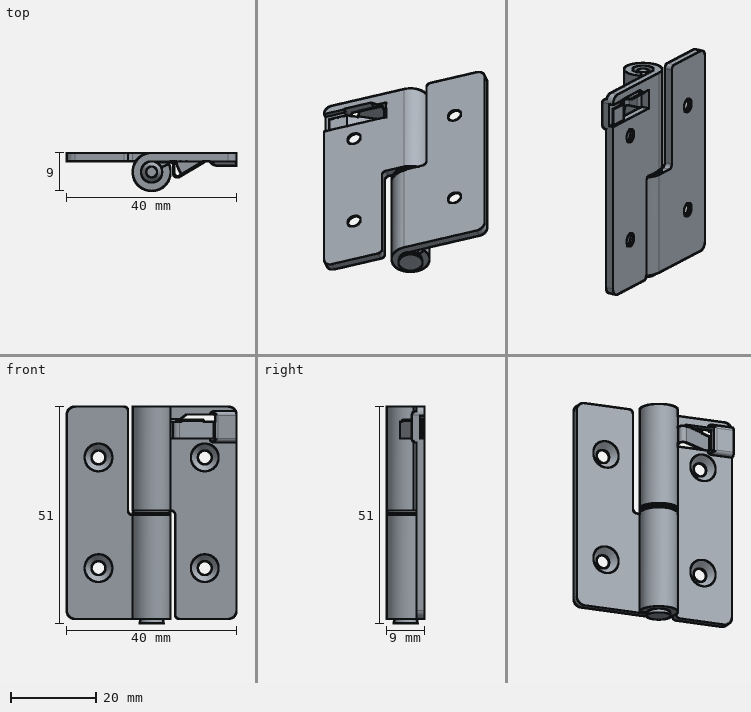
import cadquery as cq
import math


half_width = 20.0
leaf_height = 50.0
sheet = 2.0
bore_radius = 2.5
knuckle_radius = bore_radius + sheet
knuckle_height = 24.5
knuckle_gap_angle = 25.0
leaf_front = bore_radius
leaf_back = knuckle_radius
edge_clearance = 1.0
outer_corner = 2.0
inner_corner = 1.0

hole_x = 12.5
hole_heights = (12.0, 38.0)
hole_diameter = 3.2
countersink_diameter = 6.55
countersink_angle = 90.0

pin_top_radius = 1.3
pin_top_z = 49.65
pin_cone_height = 2.15
pin_neck_radius = 2.65
pin_foot_radius = 2.85
pin_foot_height = 1.0
collar_bottom = knuckle_height
collar_top = leaf_height - knuckle_height
collar_bevel = 0.25

window_left = knuckle_radius
window_right = 14.95
window_bottom = 42.45
window_step = 47.0
window_top = 48.1
window_slope = (6.8, 8.2)
window_corner = 0.3
pad_height = 1.05
pad_left = 13.6
pad_flat_left = 15.6
pad_bottom = 41.45
pad_top = 48.9
pad_edge_radius = 1.0
pad_corner = 1.2
pad_front = leaf_front - pad_height

strip = 0.3
spring_bottom = window_bottom
spring_top = 46.4
spring_start_x = 1.55
spring_drop_x = 5.05
shoulder_radius = 0.45
hook_radius = 1.0
ramp_angle = 31.0
ramp_radians = math.radians(ramp_angle)
ramp_rise = strip / math.cos(ramp_radians)
ramp_exit_x = 12.7
tail_start_x = 14.6
tail_end_x = 18.85
flange_top = 46.85
flange_left = 5.7
flange_foot_x = 7.0
flange_bulge = (6.15, 1.0)
flange_right = 12.3
flange_back = 4.0


def at_angle(radius, degrees):
    angle = math.radians(degrees)
    return (radius * math.cos(angle), radius * math.sin(angle))


def prism(outline, bottom, top):
    """Extrude an XY outline between two heights."""
    return outline.extrude(top - bottom).translate((0, 0, bottom))


def block(x_range, y_range, z_range):
    lows, highs = zip(x_range, y_range, z_range)
    sizes = [high - low for low, high in zip(lows, highs)]
    return cq.Workplane("XY").box(*sizes, centered=False).translate(lows)


def through_sheet(outline, front, back):
    """Extrude an outline drawn in X and Z between two depths."""
    return outline.extrude(back - front).translate((0, back, 0))


def plate():
    """Flat part of a leaf, with its knuckle at the lower end."""
    notch_edge = -knuckle_radius - edge_clearance
    outline = cq.Workplane("XZ").polyline([
        (-half_width, 0),
        (0, 0),
        (0, knuckle_height),
        (notch_edge, knuckle_height),
        (notch_edge, leaf_height),
        (-half_width, leaf_height),
    ]).close()
    flat = through_sheet(outline, leaf_front, leaf_back)
    flat = flat.edges("|Y and <X").fillet(outer_corner)
    middle_y = (leaf_front + leaf_back) / 2
    for z in (knuckle_height, leaf_height):
        corner = cq.selectors.NearestToPointSelector((notch_edge, middle_y, z))
        flat = flat.edges("|Y").edges(corner).fillet(inner_corner)
    return flat


def knuckle():
    """Rolled end of a leaf, an open C around the pin."""
    start = 90.0
    end = -180.0 - knuckle_gap_angle
    middle = (start + end) / 2
    outline = (
        cq.Workplane("XY")
        .moveTo(*at_angle(knuckle_radius, start))
        .threePointArc(at_angle(knuckle_radius, middle), at_angle(knuckle_radius, end))
        .lineTo(*at_angle(bore_radius, end))
        .threePointArc(at_angle(bore_radius, middle), at_angle(bore_radius, start))
        .close()
    )
    return prism(outline, 0, knuckle_height)


def leaf():
    """Left leaf with its countersunk holes."""
    body = plate().union(knuckle())
    hole_plane = cq.Workplane("XZ", origin=(0, leaf_front, 0))
    return (
        body.copyWorkplane(hole_plane)
        .pushPoints([(-hole_x, z) for z in hole_heights])
        .cskHole(hole_diameter, countersink_diameter, countersink_angle)
    )


def window():
    slope_start, slope_end = window_slope
    outline = cq.Workplane("XZ").polyline([
        (window_left, window_bottom),
        (window_right, window_bottom),
        (window_right, window_top),
        (slope_end, window_top),
        (slope_start, window_step),
        (window_left, window_step),
    ]).close()
    opening = through_sheet(outline, pad_front, leaf_back)
    return opening.edges("|Y and >X and >Z").fillet(window_corner)


def pad():
    """Raised pad beside the window, rounded on its left, top and bottom edges."""
    run = pad_flat_left - pad_left
    end_radius = (run**2 + pad_height**2) / (2 * pad_height)
    rounded_end = (
        cq.Workplane("XY")
        .moveTo(pad_left, leaf_front)
        .radiusArc((pad_flat_left, pad_front), -end_radius)
        .lineTo(half_width, pad_front)
        .lineTo(half_width, leaf_back)
        .lineTo(pad_left, leaf_back)
        .close()
    )
    body = prism(rounded_end, pad_bottom, pad_top)

    envelope = block((pad_left, half_width), (pad_front, leaf_back), (pad_bottom, pad_top))
    rounded_bar = envelope.edges("|X and <Y").fillet(pad_edge_radius)
    footprint = envelope.edges("|Y and <X").fillet(pad_corner)
    leaf_corner = block((0, half_width), (pad_front, leaf_back), (0, leaf_height))
    leaf_corner = leaf_corner.edges("|Y and >X").fillet(outer_corner)
    return body.intersect(rounded_bar).intersect(footprint).intersect(leaf_corner)


def locking_leaf():
    """Right leaf: the left leaf turned half a turn about Y, plus window, pad and spring pocket."""
    middle = leaf_height / 2
    body = leaf().rotate((0, 0, middle), (0, 1, middle), 180)
    pocket = block(
        (window_right, half_width),
        (leaf_back - pad_height, leaf_back),
        (window_bottom, pad_top - pad_edge_radius),
    )
    return body.union(pad()).cut(window()).cut(pocket)


def pin():
    """Pin with a coned top, a collar between the knuckles and a flared foot."""
    collar_middle = (collar_bottom + collar_top) / 2
    collar_end_radius = knuckle_radius - collar_bevel
    half_section = cq.Workplane("XZ").polyline([
        (0, -pin_foot_height),
        (pin_foot_radius, -pin_foot_height),
        (pin_neck_radius, 0),
        (bore_radius, 0),
        (bore_radius, collar_bottom),
        (collar_end_radius, collar_bottom),
        (knuckle_radius, collar_middle),
        (collar_end_radius, collar_top),
        (bore_radius, collar_top),
        (bore_radius, pin_top_z - pin_cone_height),
        (pin_top_radius, pin_top_z),
        (0, pin_top_z),
    ]).close()
    return half_section.revolve(360, (0, 0), (0, 1))


def ramp_y(x):
    """Y of the ramp's front face."""
    return leaf_front + (x - ramp_exit_x) * math.tan(ramp_radians)


def spring_strip():
    """Bent strip: flat start under the leaf, drop, hook, ramp, and a tail in the pocket."""
    start_y = leaf_front - strip
    tail_y = ramp_y(tail_start_x)
    back_drop_x = spring_drop_x + strip
    back_tail_y = tail_y + strip
    back_tail_x = tail_start_x + (strip - ramp_rise) / math.tan(ramp_radians)
    front_shoulder = (spring_drop_x, start_y)
    front_hook = (spring_drop_x, ramp_y(spring_drop_x))
    back_shoulder = (back_drop_x, leaf_front)
    back_hook = (back_drop_x, ramp_y(back_drop_x) + ramp_rise)
    outline = cq.Workplane("XY").polyline([
        (spring_start_x, start_y),
        front_shoulder,
        front_hook,
        (tail_start_x, tail_y),
        (tail_end_x, tail_y),
        (tail_end_x, back_tail_y),
        (back_tail_x, back_tail_y),
        back_hook,
        back_shoulder,
        (spring_start_x, leaf_front),
    ]).close()
    body = prism(outline, spring_bottom, spring_top)
    bends = (
        (front_shoulder, shoulder_radius),
        (back_shoulder, shoulder_radius + strip),
        (front_hook, hook_radius),
        (back_hook, hook_radius - strip),
    )
    middle = (spring_bottom + spring_top) / 2
    for corner, radius in bends:
        edge = cq.selectors.NearestToPointSelector((*corner, middle))
        body = body.edges("|Z").edges(edge).fillet(radius)
    return body


def spring_flange():
    """Wedge-shaped flange along the top edge of the ramp, cut square to the ramp at its right end."""
    end_slope = math.tan(ramp_radians)
    foot_front = (flange_foot_x, ramp_y(flange_foot_x))
    foot_back = (flange_foot_x, ramp_y(flange_foot_x) + ramp_rise)
    end_front = (flange_right, ramp_y(flange_right))
    end_back = (
        flange_right - strip * math.sin(ramp_radians),
        ramp_y(flange_right) + strip * math.cos(ramp_radians),
    )
    back_right_x = flange_right - (flange_back - ramp_y(flange_right)) * end_slope
    wedge = (
        cq.Workplane("XY")
        .moveTo(*foot_front)
        .lineTo(*end_front)
        .lineTo(back_right_x, flange_back)
        .lineTo(flange_left, flange_back)
        .lineTo(flange_left, leaf_front)
        .threePointArc(flange_bulge, foot_back)
        .close()
    )
    riser = cq.Workplane("XY").polyline([foot_front, end_front, end_back, foot_back]).close()
    return prism(wedge, flange_top - strip, flange_top).union(prism(riser, spring_bottom, flange_top))


def spring():
    """Spring clip with the flange rounded over where it bends out of the ramp."""
    body = spring_strip().union(spring_flange())
    bend_x = (flange_foot_x + flange_right) / 2
    bend = cq.selectors.NearestToPointSelector((bend_x, ramp_y(bend_x), flange_top))
    return body.edges(bend).fillet(flange_top - spring_top)


left_leaf = leaf()
right_leaf = locking_leaf()
hinge_pin = pin()
spring_clip = spring()

result = cq.Compound.makeCompound([
    left_leaf.solids().val(),
    right_leaf.solids().val(),
    hinge_pin.solids().val(),
    spring_clip.solids().val(),
])